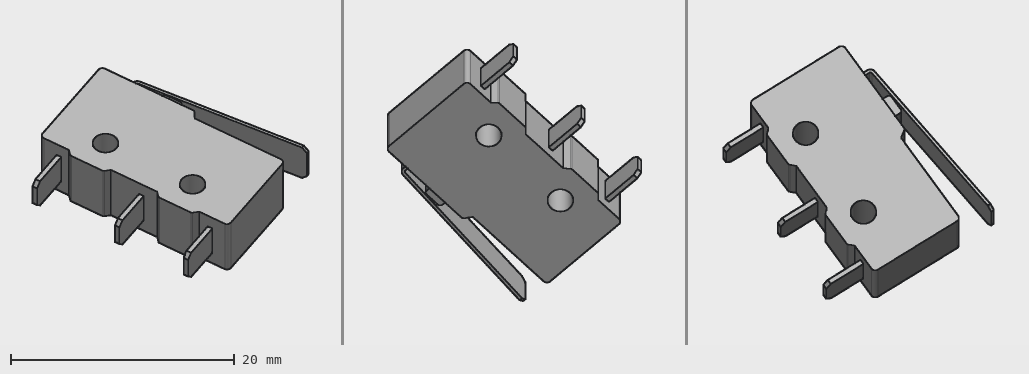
import cadquery as cq
import math


housing_length = 20.05
housing_depth = 10.08
housing_height = 6.0
mid_height = housing_height / 2
corner_radius = 0.4
step_start = 9.94
step_run = 0.53
step_drop = 0.75

pad_starts = (3.07, 12.45)
pad_width = 4.48
pad_rise = 0.5
pad_edge_radius = 0.2

hole_diameter = 2.3
hole_positions = ((5.38, 2.47), (14.65, 2.47))

terminal_centers = (2.02, 10.8, 18.1)
terminal_thickness = 0.5
terminal_width = 3.2
terminal_length = 4.0
terminal_chamfer = 0.5

plunger_start = 6.05
plunger_width = 2.02
plunger_rise = 1.0
plunger_corner_radius = 0.29

lever_start = 2.95
lever_thickness = 0.3
lever_width = 4.0
lever_bend_radius = 0.5
lever_bend_rise = 0.65
lever_angle = 4.8
lever_reach = 20.45
lever_tip_chamfer = 0.5


def make_housing():
    shoulder = housing_depth - step_drop
    body = (
        cq.Workplane("XY")
        .moveTo(0, 0)
        .lineTo(housing_length, 0)
        .lineTo(housing_length, shoulder)
        .lineTo(step_start + step_run, shoulder)
        .lineTo(step_start, housing_depth)
        .lineTo(0, housing_depth)
        .close()
        .extrude(housing_height)
    )
    outer_corners = body.edges("|Z and (<X or >X)")
    body = outer_corners.fillet(corner_radius)
    for start in pad_starts:
        body = body.union(make_pad(start))
    return body.cut(make_mounting_holes())


def make_pad(start):
    end = start + pad_width
    return (
        cq.Workplane("XY")
        .moveTo(start, 0)
        .lineTo(start + pad_rise, -pad_rise)
        .lineTo(end - pad_rise, -pad_rise)
        .lineTo(end, 0)
        .close()
        .extrude(housing_height)
        .edges("|Z and <Y")
        .fillet(pad_edge_radius)
    )


def make_mounting_holes():
    return (
        cq.Workplane("XY")
        .pushPoints(hole_positions)
        .circle(hole_diameter / 2)
        .extrude(housing_height)
    )


def make_terminal(center_x):
    return (
        cq.Workplane("XY")
        .box(terminal_thickness, terminal_length, terminal_width)
        .edges("|X and <Y")
        .chamfer(terminal_chamfer)
        .translate((center_x, -terminal_length / 2, mid_height))
    )


def make_plunger():
    return (
        cq.Workplane("XY")
        .box(plunger_width, plunger_rise, lever_width)
        .edges("|Z and >Y")
        .fillet(plunger_corner_radius)
        .translate((plunger_start + plunger_width / 2, housing_depth + plunger_rise / 2, mid_height))
    )


def make_lever():
    slope = math.radians(lever_angle)
    arm_normal = math.pi / 2 + slope
    bend_x = lever_start + lever_bend_radius
    bend_y = housing_depth + lever_bend_rise
    inner_radius = lever_bend_radius - lever_thickness
    arm_length = (lever_reach - bend_x + inner_radius * math.sin(slope)) / math.cos(slope)

    def on_bend(radius, angle):
        return (bend_x + radius * math.cos(angle), bend_y + radius * math.sin(angle))

    def on_arm(radius):
        foot_x, foot_y = on_bend(radius, arm_normal)
        return (foot_x + arm_length * math.cos(slope), foot_y + arm_length * math.sin(slope))

    bend_middle = (math.pi + arm_normal) / 2
    strip = (
        cq.Workplane("XY")
        .moveTo(lever_start, housing_depth)
        .lineTo(*on_bend(lever_bend_radius, math.pi))
        .threePointArc(on_bend(lever_bend_radius, bend_middle), on_bend(lever_bend_radius, arm_normal))
        .lineTo(*on_arm(lever_bend_radius))
        .lineTo(*on_arm(inner_radius))
        .lineTo(*on_bend(inner_radius, arm_normal))
        .threePointArc(on_bend(inner_radius, bend_middle), on_bend(inner_radius, math.pi))
        .lineTo(lever_start + lever_thickness, housing_depth)
        .close()
        .extrude(lever_width / 2, both=True)
        .translate((0, 0, mid_height))
    )
    tip_corners = strip.faces(">X").edges("<Z or >Z")
    return tip_corners.chamfer(lever_tip_chamfer)


housing = make_housing()
terminals = [make_terminal(center_x) for center_x in terminal_centers]
plunger = make_plunger()
lever = make_lever()

result = cq.Compound.makeCompound([
    housing.val(),
    *[terminal.val() for terminal in terminals],
    plunger.val(),
    lever.val(),
])